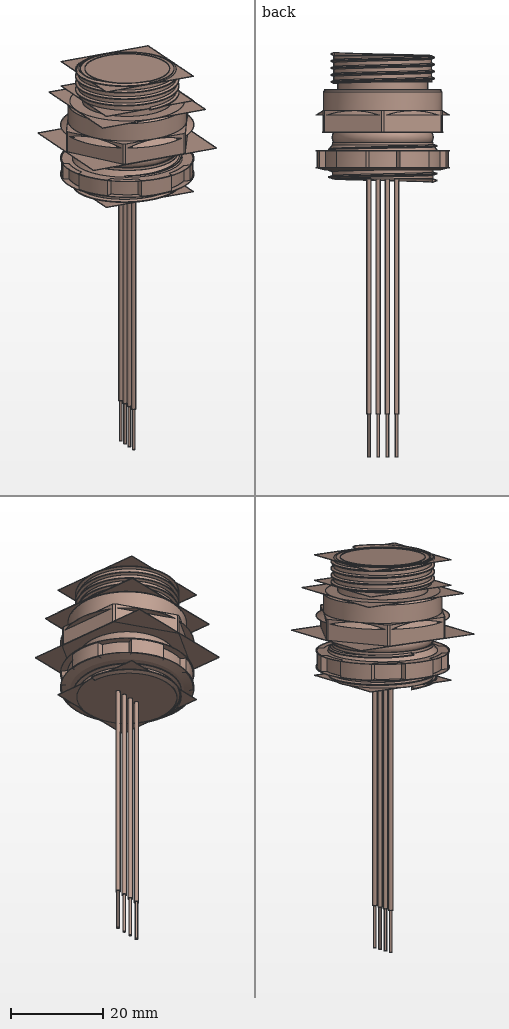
import cadquery as cq
import math

total_height = 87.58
top_face_z = -0.7
neck_top_z = -6.4
ring_top_z = -8.05
hex_top_z = -12.6
hex_bottom_z = -17.3
seal_bottom_z = -19.5
nut_top_z = -21.3
nut_bottom_z = -25.0
housing_bottom_z = -27.4

cap_radius = 10.6
neck_radius = 9.75
ring_radius = 12.85
ring_chamfer = 0.5
seal_radius = 10.95
seal_edge_radius = 10.6
lower_core_radius = 10.9

window_radius = 9.2
rim_radius = 10.15
rim_height = 0.1

plate_thickness = 0.06
cap_plate_side = 21.2
ring_plate_side = 25.1
hex_plate_x = 26.1
hex_plate_y = 30.0
end_plate_side = cap_plate_side

hex_across_flats = 25.75
hex_corner_flat = 0.6
hex_across_corners = hex_across_flats / math.cos(math.radians(30))
hex_cone_height = 1.0
hex_cone_radius = 14.45

thread_pitch = 1.5
thread_half_base = 0.4
thread_half_crest = 0.08
thread_embed = 0.15
upper_thread_radius = 11.2
upper_thread_turns = 4
upper_thread_top_z = -thread_half_base
lower_thread_radius = 11.7
lower_thread_turns = 5
lower_thread_bottom_z = -27.75

nut_radius = 14.2
nut_flange_radius = 14.455
nut_flange_thickness = plate_thickness
nut_core_radius = 13.0
nut_pads = 6
pad_half_angle = 15
pad_root_half_angle = 17
nut_collar_height = 1.2
nut_collar_radius = 11.9
nut_collar_top_radius = 10.95
nut_bevel_height = 0.5
nut_bevel_radius = 12.3

wire_xs = (-3, -1, 1, 3)
insulation_diameter = 1.0
conductor_diameter = 0.6
conductor_length = 9.35


def disc(radius, bottom_z, top_z):
    return cq.Workplane("XY").workplane(offset=bottom_z).circle(radius).extrude(top_z - bottom_z)


def frustum(bottom_radius, top_radius, bottom_z, top_z):
    outline = [(0, bottom_z), (bottom_radius, bottom_z), (top_radius, top_z), (0, top_z)]
    return cq.Workplane("XZ").polyline(outline).close().revolve(360, (0, 0), (0, 1))


def plate(x_size, y_size, bottom_z):
    base = cq.Workplane("XY").workplane(offset=bottom_z)
    return base.rect(x_size, y_size).extrude(plate_thickness)


def thread_ridge(core_radius, crest_radius, bottom_z, turns, start_angle):
    """Helical ridge of trapezoid section whose root is sunk into its core."""
    root_radius = core_radius - thread_embed
    helix = cq.Wire.makeHelix(thread_pitch, turns * thread_pitch, root_radius)
    section = (
        cq.Workplane("XZ")
        .moveTo(root_radius, -thread_half_base)
        .lineTo(crest_radius, -thread_half_crest)
        .lineTo(crest_radius, thread_half_crest)
        .lineTo(root_radius, thread_half_base)
        .close()
    )
    ridge = section.sweep(cq.Workplane(obj=helix), isFrenet=True)
    return ridge.rotate((0, 0, 0), (0, 0, 1), start_angle).translate((0, 0, bottom_z))


def housing_core():
    """Turned body: cap, neck, ring, shank with bulging seal, lower threaded core."""
    seal_middle_z = (hex_bottom_z + seal_bottom_z) / 2
    return (
        cq.Workplane("XZ")
        .moveTo(0, top_face_z)
        .lineTo(cap_radius, top_face_z)
        .lineTo(cap_radius, neck_top_z)
        .lineTo(neck_radius, neck_top_z)
        .lineTo(neck_radius, ring_top_z)
        .lineTo(ring_radius - ring_chamfer, ring_top_z)
        .lineTo(ring_radius, ring_top_z - ring_chamfer)
        .lineTo(ring_radius, hex_top_z)
        .lineTo(seal_edge_radius, hex_top_z)
        .lineTo(seal_edge_radius, hex_bottom_z)
        .threePointArc((seal_radius, seal_middle_z), (seal_edge_radius, seal_bottom_z))
        .lineTo(lower_core_radius, seal_bottom_z)
        .lineTo(lower_core_radius, housing_bottom_z)
        .lineTo(0, housing_bottom_z)
        .close()
        .revolve(360, (0, 0), (0, 1))
    )


def window_rim():
    rim_top_z = top_face_z + rim_height
    return disc(rim_radius, top_face_z, rim_top_z).cut(disc(window_radius, top_face_z, rim_top_z))


def wrench_hexagon():
    height = hex_top_z - hex_bottom_z
    corner_chamfer = hex_corner_flat / (2 * math.cos(math.radians(30)))
    prism = (
        cq.Workplane("XY")
        .workplane(offset=hex_bottom_z)
        .polygon(6, hex_across_corners)
        .extrude(height)
        .edges("|Z")
        .chamfer(corner_chamfer)
        .rotate((0, 0, 0), (0, 0, 1), 90)
    )
    cone = frustum(hex_cone_radius, ring_radius, hex_top_z - hex_cone_height, hex_top_z)
    return prism.union(cone)


def polar(radius, angle):
    return radius * math.cos(math.radians(angle)), radius * math.sin(math.radians(angle))


def nut_pad(angle):
    pad = (
        cq.Workplane("XY")
        .workplane(offset=nut_bottom_z)
        .lineTo(*polar(nut_core_radius, -pad_root_half_angle))
        .lineTo(*polar(nut_radius, -pad_half_angle))
        .threePointArc((nut_radius, 0), polar(nut_radius, pad_half_angle))
        .lineTo(*polar(nut_core_radius, pad_root_half_angle))
        .close()
        .extrude(nut_top_z - nut_bottom_z)
    )
    return pad.rotate((0, 0, 0), (0, 0, 1), angle)


def lock_nut():
    nut = disc(nut_core_radius, nut_bottom_z, nut_top_z)
    for index in range(nut_pads):
        nut = nut.union(nut_pad(index * 360 / nut_pads))
    nut = nut.union(disc(nut_flange_radius, nut_top_z - nut_flange_thickness, nut_top_z))
    nut = nut.union(disc(nut_flange_radius, nut_bottom_z, nut_bottom_z + nut_flange_thickness))
    collar_top_z = nut_top_z + nut_collar_height
    bevel_bottom_z = nut_bottom_z - nut_bevel_height
    nut = nut.union(frustum(nut_collar_radius, nut_collar_top_radius, nut_top_z, collar_top_z))
    return nut.union(frustum(nut_bevel_radius, nut_radius, bevel_bottom_z, nut_bottom_z))


def housing_threads():
    upper_thread_bottom_z = upper_thread_top_z - upper_thread_turns * thread_pitch
    return [
        thread_ridge(cap_radius, upper_thread_radius, upper_thread_bottom_z, upper_thread_turns, 0),
        thread_ridge(lower_core_radius, lower_thread_radius, lower_thread_bottom_z, lower_thread_turns, 180),
    ]


def housing_plates():
    return [
        plate(cap_plate_side, cap_plate_side, top_face_z - plate_thickness),
        plate(cap_plate_side, cap_plate_side, neck_top_z),
        plate(ring_plate_side, ring_plate_side, ring_top_z - plate_thickness),
        plate(hex_plate_x, hex_plate_y, hex_bottom_z),
        plate(end_plate_side, end_plate_side, housing_bottom_z),
    ]


def make_housing():
    """Housing in one piece; the threads join the core before the nut that surrounds them."""
    housing = housing_core().union(wrench_hexagon())
    for ridge in housing_threads():
        housing = housing.union(ridge)
    housing = housing.union(lock_nut()).union(window_rim())
    for thin_plate in housing_plates():
        housing = housing.union(thin_plate)
    return housing


def make_wire(x):
    """One wire: insulation down from the housing, then the bare conductor."""
    conductor_top_z = conductor_length - total_height
    insulation = disc(insulation_diameter / 2, conductor_top_z, housing_bottom_z)
    conductor = disc(conductor_diameter / 2, -total_height, conductor_top_z)
    return insulation.union(conductor).translate((x, 0, 0))


housing = make_housing()
wires = [make_wire(x) for x in wire_xs]

result = cq.Compound.makeCompound([housing.val(), *[wire.val() for wire in wires]])